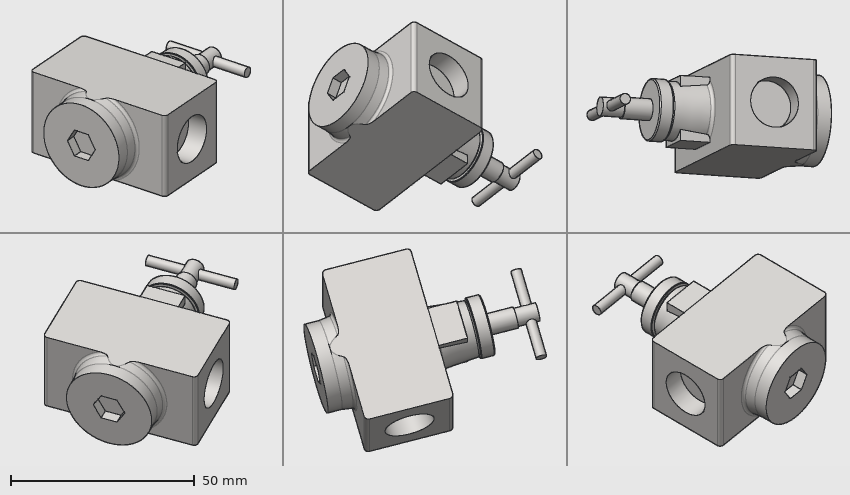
import cadquery as cq
import math

body_length = 45.0
body_depth = 25.0
body_height = 25.0
body_corner_radius = 1.2
body_front = -body_depth / 2
body_back = body_depth / 2

port_diameter = 13.85
port_depth = 6.0

plug_diameter = 25.0
plug_length = 7.75
plug_rim_length = 4.0
plug_draft = 8.0
plug_root_fillet = 0.9
hex_across_flats = 8.0
hex_depth = 3.0

neck_top_diameter = 15.8
neck_length = 11.5
neck_draft = 5.0
neck_root_fillet = 1.0
neck_top_chamfer = 0.5
pad_width = 11.2
pad_length = 8.5
pad_span = 18.0

cap_diameter = 17.1
cap_top = 15.5
cap_top_chamfer = 0.35
cap_bottom_chamfer = 0.2
stem_diameter = 6.0
stem_shoulder = 23.55
stem_tip_diameter = 5.2
stem_tip = 29.75
handle_diameter = 3.0
handle_length = 26.0
handle_position = 27.25


def tapered_boss(top_radius, taper_top, draft_degrees, fillet_radius):
    """Cone standing on Z = 0 that widens towards a concave root fillet."""
    draft = math.radians(draft_degrees)
    foot_radius = top_radius + taper_top * math.tan(draft)
    tangent_length = fillet_radius * math.tan((math.pi / 2 - draft) / 2)
    base_radius = foot_radius + tangent_length
    tangent_radius = foot_radius - tangent_length * math.sin(draft)
    tangent_height = tangent_length * math.cos(draft)
    return (
        cq.Workplane("XZ")
        .moveTo(0, 0)
        .lineTo(base_radius, 0)
        .radiusArc((tangent_radius, tangent_height), fillet_radius)
        .lineTo(top_radius, taper_top)
        .lineTo(0, taper_top)
        .close()
        .revolve(360, (0, 0, 0), (0, 1, 0))
    )


def rod(diameter, start, end):
    """Cylinder along Z between two heights."""
    return cq.Workplane("XY").workplane(offset=start).circle(diameter / 2).extrude(end - start)


def make_body():
    block = cq.Workplane("XY").box(body_length, body_depth, body_height)
    return block.edges("|Z").fillet(body_corner_radius)


def make_ports():
    ports = cq.Workplane("XY")
    for side in (-1, 1):
        port = cq.Workplane("YZ", origin=(side * body_length / 2, 0, 0))
        ports = ports.add(port.circle(port_diameter / 2).extrude(-side * port_depth))
    return ports.combine()


def make_plug():
    taper_length = plug_length - plug_rim_length
    plug = tapered_boss(plug_diameter / 2, taper_length, plug_draft, plug_root_fillet)
    plug = plug.union(rod(plug_diameter, taper_length, plug_length))
    trim_size = 2 * plug_diameter
    plug = plug.intersect(cq.Workplane("XY").box(trim_size, body_height, trim_size))
    hex_across_corners = hex_across_flats / math.cos(math.pi / 6)
    socket = cq.Workplane("XY").workplane(offset=plug_length).polygon(6, hex_across_corners)
    plug = plug.cut(socket.extrude(-hex_depth))
    return plug.rotate((0, 0, 0), (1, 0, 0), 90).translate((0, body_front, 0))


def make_bonnet():
    neck = tapered_boss(neck_top_diameter / 2, neck_length, neck_draft, neck_root_fillet)
    neck = neck.faces(">Z").chamfer(neck_top_chamfer)
    trim_size = 2 * body_length
    neck = neck.intersect(cq.Workplane("XY").box(trim_size, pad_span, trim_size))
    pads = cq.Workplane("XY").rect(pad_width, pad_span).extrude(pad_length)

    cap = rod(cap_diameter, neck_length, cap_top)
    cap = cap.faces(">Z").chamfer(cap_top_chamfer)
    cap = cap.faces("<Z").chamfer(cap_bottom_chamfer)

    stem = rod(stem_diameter, cap_top, stem_shoulder)
    tip = rod(stem_tip_diameter, stem_shoulder, stem_tip)
    handle = (
        cq.Workplane("YZ", origin=(0, 0, handle_position))
        .circle(handle_diameter / 2)
        .extrude(handle_length / 2, both=True)
    )

    bonnet = neck.union(pads).union(cap).union(stem).union(tip).union(handle)
    return bonnet.rotate((0, 0, 0), (1, 0, 0), -90).translate((0, body_back, 0))


result = make_body().cut(make_ports()).union(make_plug()).union(make_bonnet())